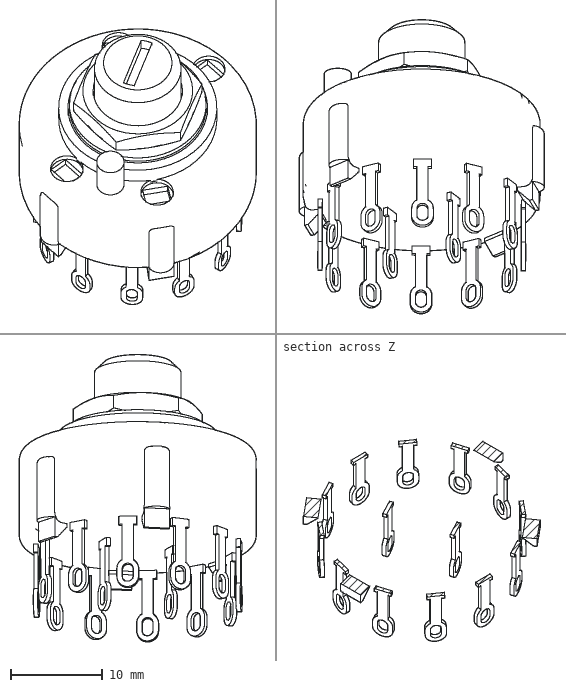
import cadquery as cq
import math

TOTAL_HEIGHT = 28.5
TERMINAL_DROP = 8.0

HOUSING_DIAMETER = 26.0
HOUSING_HEIGHT = 10.52
HOUSING_EDGE_RADIUS = 1.0
CAVITY_DIAMETER = 24.0
PLATE_THICKNESS = 1.45

COLLAR_DIAMETER = 17.33
COLLAR_HEIGHT = 1.97
RECESS_DIAMETER = 15.3
BUSHING_DIAMETER = 10.25
WASHER_GAP = 0.1
WASHER_DIAMETER = 15.0
WASHER_RISE = 0.68
NUT_HEIGHT = 2.4
NUT_ACROSS_FLATS = 12.4
NUT_BORE = 9.78
NUT_TOP_FACE_DIAMETER = 12.03
NUT_CORNER_SLOPE = 25.0
NUT_TURN = 29.0
SHAFT_DIAMETER = 9.5
SHAFT_CHAMFER = 1.0
SLOT_WIDTH = 1.25
SLOT_LENGTH = 6.33
SLOT_DEPTH = 1.42

PIN_DIAMETER = 3.0
PIN_OFFSET = 9.55
PIN_HEIGHT = 3.95

CLIP_ANGLES = (60, 120, 240, 300)
POST_DIAMETER = 3.08
POST_CENTRE_RADIUS = 12.28
POST_BOTTOM = 0.48
POST_TOP = 7.47
POST_EDGE_RADIUS = 0.55
CLIP_WIDTH = 2.8
HOOK_OUTER_RADIUS = 12.9
HOOK_TIP_THICKNESS = 0.4
HOOK_ROOT_THICKNESS = 1.7
HOOK_DROP = 1.7
HOOK_STRAIGHT_DROP = 0.4
POCKET_CENTRE_RADIUS = 10.4
POCKET_DIAMETER = 3.55
POCKET_DEPTH = 0.6
WINDOW_LENGTH = 2.08

TERMINAL_COUNT = 12
TERMINAL_RADIUS = 11.15
COMMON_RADIUS = 4.0
COMMON_ANGLES = (45, 225)
TERMINAL_THICKNESS = 0.48
STALK_WIDTH = 1.25
SHOULDER_WIDTH = 2.0
SHOULDER_DROP = 0.9
EYE_WIDTH = 2.4
EYE_HOLE_WIDTH = 1.2
EYE_STRAIGHT = 0.85
EMBED = 0.28

collar_top = HOUSING_HEIGHT + COLLAR_HEIGHT
washer_top = collar_top + WASHER_RISE
shaft_top = TOTAL_HEIGHT - TERMINAL_DROP


def cylinder(diameter, bottom, top, x=0.0, y=0.0):
    return cq.Workplane("XY", origin=(x, y, bottom)).circle(diameter / 2).extrude(top - bottom)


def turned(shape, angle):
    """Turn a shape built on the +X side to the given angle about Z."""
    return shape.rotate((0, 0, 0), (0, 0, 1), angle)


def make_housing():
    housing = cylinder(HOUSING_DIAMETER, 0, HOUSING_HEIGHT)
    return housing.edges().fillet(HOUSING_EDGE_RADIUS)


def make_cavity():
    return cylinder(CAVITY_DIAMETER, PLATE_THICKNESS, HOUSING_HEIGHT - PLATE_THICKNESS)


def make_collar_and_washer():
    """Collar around a bushing that holds the washer just above the collar."""
    collar = cylinder(COLLAR_DIAMETER, HOUSING_HEIGHT - EMBED, collar_top)
    collar = collar.cut(cylinder(RECESS_DIAMETER, HOUSING_HEIGHT, collar_top))
    bushing = cylinder(BUSHING_DIAMETER, HOUSING_HEIGHT - EMBED, washer_top)
    washer = cylinder(WASHER_DIAMETER, collar_top + WASHER_GAP, washer_top)
    return collar.union(bushing).union(washer)


def make_nut():
    """Hexagon nut with its corners turned down to a cone at both faces."""
    nut_top = washer_top + NUT_HEIGHT
    corner_radius = NUT_ACROSS_FLATS / math.sqrt(3)
    slope = math.tan(math.radians(NUT_CORNER_SLOPE))
    top_radius = NUT_TOP_FACE_DIAMETER / 2
    bottom_radius = NUT_ACROSS_FLATS / 2
    nut = (
        cq.Workplane("XY", origin=(0, 0, washer_top))
        .polygon(6, 2 * corner_radius)
        .extrude(NUT_HEIGHT)
        .rotate((0, 0, 0), (0, 0, 1), NUT_TURN)
    )
    corner_turning = (
        cq.Workplane("XZ")
        .moveTo(0, washer_top)
        .lineTo(bottom_radius, washer_top)
        .lineTo(corner_radius, washer_top + (corner_radius - bottom_radius) * slope)
        .lineTo(corner_radius, nut_top - (corner_radius - top_radius) * slope)
        .lineTo(top_radius, nut_top)
        .lineTo(0, nut_top)
        .close()
        .revolve(360, (0, 0, 0), (0, 1, 0))
    )
    return nut.intersect(corner_turning).cut(cylinder(NUT_BORE, washer_top, nut_top))


def make_shaft():
    """Chamfered shaft with a screwdriver slot in its end."""
    shaft = cylinder(SHAFT_DIAMETER, HOUSING_HEIGHT, shaft_top)
    shaft = shaft.faces(">Z").chamfer(SHAFT_CHAMFER)
    slot = cq.Workplane("XY", origin=(0, 0, shaft_top - SLOT_DEPTH)).rect(SLOT_WIDTH, SLOT_LENGTH)
    slot = slot.extrude(SLOT_DEPTH)
    slot = slot.intersect(cylinder(SLOT_LENGTH, shaft_top - SLOT_DEPTH, shaft_top))
    return shaft.cut(slot)


def make_pin():
    return cylinder(PIN_DIAMETER, HOUSING_HEIGHT - EMBED, HOUSING_HEIGHT + PIN_HEIGHT, 0, -PIN_OFFSET)


def make_clip():
    """Side post with a hook below it, on the +X side."""
    post = cylinder(POST_DIAMETER, POST_BOTTOM, POST_TOP, POST_CENTRE_RADIUS)
    post = post.faces(">Z").edges().fillet(POST_EDGE_RADIUS)
    hook = (
        cq.Workplane("XZ")
        .moveTo(HOOK_OUTER_RADIUS, POST_BOTTOM + EMBED)
        .lineTo(HOOK_OUTER_RADIUS, -HOOK_DROP)
        .lineTo(HOOK_OUTER_RADIUS - HOOK_TIP_THICKNESS, -HOOK_DROP)
        .lineTo(HOOK_OUTER_RADIUS - HOOK_ROOT_THICKNESS, -HOOK_STRAIGHT_DROP)
        .lineTo(HOOK_OUTER_RADIUS - HOOK_ROOT_THICKNESS, POST_BOTTOM + EMBED)
        .close()
        .extrude(CLIP_WIDTH / 2, both=True)
    )
    return post.union(hook)


def make_clip_pocket():
    """Round pocket in the housing top with a rectangular window down to the cavity, on the +X side."""
    pocket_floor = HOUSING_HEIGHT - POCKET_DEPTH
    pocket = cylinder(POCKET_DIAMETER, pocket_floor, HOUSING_HEIGHT, POCKET_CENTRE_RADIUS)
    window = (
        cq.Workplane("XY", origin=(POCKET_CENTRE_RADIUS, 0, pocket_floor))
        .rect(WINDOW_LENGTH, CLIP_WIDTH)
        .extrude(POCKET_DEPTH - PLATE_THICKNESS)
    )
    return pocket.union(window)


def make_terminal(radius):
    """Flat solder terminal facing outward on the +X side."""
    eye_centre = -TERMINAL_DROP + (EYE_WIDTH + EYE_STRAIGHT) / 2
    flat = cq.Workplane("YZ", origin=(radius - TERMINAL_THICKNESS / 2, 0, 0))

    def bar(width, bottom):
        length = EMBED - bottom
        return flat.center(0, EMBED - length / 2).rect(width, length).extrude(TERMINAL_THICKNESS)

    def oval(width):
        oval_plane = flat.center(0, eye_centre)
        return oval_plane.slot2D(width + EYE_STRAIGHT, width, 90).extrude(TERMINAL_THICKNESS)

    terminal = bar(SHOULDER_WIDTH, -SHOULDER_DROP).union(bar(STALK_WIDTH, eye_centre))
    return terminal.union(oval(EYE_WIDTH)).cut(oval(EYE_HOLE_WIDTH))


clip = make_clip()
clip_pocket = make_clip_pocket()
outer_terminal = make_terminal(TERMINAL_RADIUS)
common_terminal = make_terminal(COMMON_RADIUS)

body = make_housing()
for clip_angle in CLIP_ANGLES:
    body = body.union(turned(clip, clip_angle))
body = body.cut(make_cavity())
for clip_angle in CLIP_ANGLES:
    body = body.cut(turned(clip_pocket, clip_angle))

for fitting in (make_collar_and_washer(), make_shaft(), make_nut(), make_pin()):
    body = body.union(fitting)

terminal_step = 360 / TERMINAL_COUNT
for index in range(TERMINAL_COUNT):
    body = body.union(turned(outer_terminal, (index + 0.5) * terminal_step))
for common_angle in COMMON_ANGLES:
    body = body.union(turned(common_terminal, common_angle))

result = body